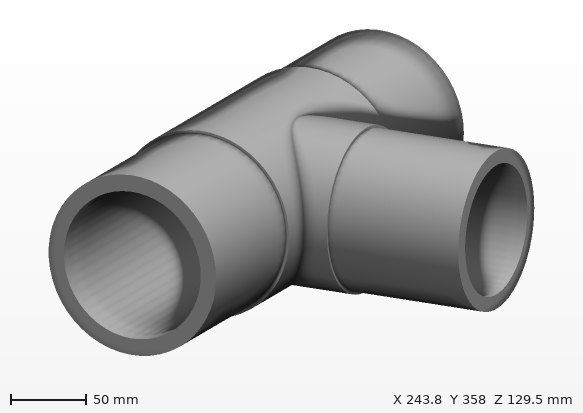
import cadquery as cq

run_length = 358.0
run_diameter = 125.0
run_bore = 102.0
sleeve_length = 156.0
sleeve_diameter = 129.5

branch_reach = 179.0
branch_diameter = 110.0
branch_bore = 90.0
collar_reach = 82.0
collar_diameter = 114.0


def run_cylinder(diameter, length):
    """Cylinder along Y, centred on the origin."""
    return cq.Workplane("XZ").circle(diameter / 2).extrude(length / 2, both=True)


def branch_cylinder(diameter, reach):
    """Cylinder along X, from the run axis outwards."""
    return cq.Workplane("YZ").circle(diameter / 2).extrude(reach)


outer_body = (
    run_cylinder(run_diameter, run_length)
    .union(run_cylinder(sleeve_diameter, sleeve_length))
    .union(branch_cylinder(branch_diameter, branch_reach))
    .union(branch_cylinder(collar_diameter, collar_reach))
)

result = (
    outer_body
    .cut(run_cylinder(run_bore, run_length))
    .cut(branch_cylinder(branch_bore, branch_reach))
)